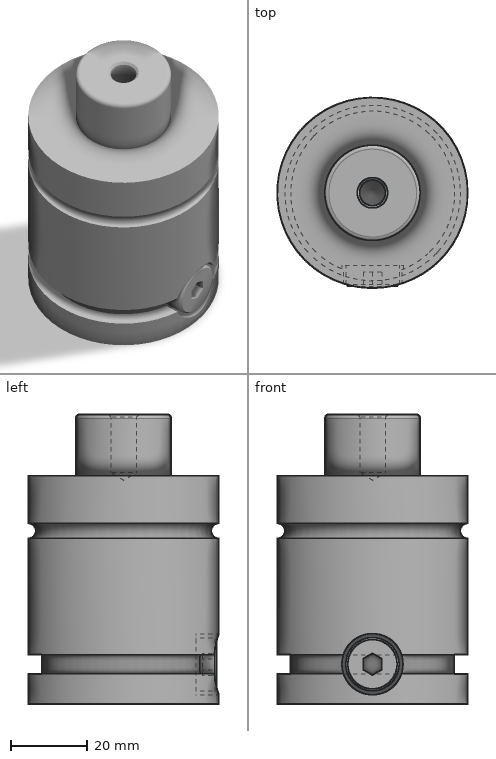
import cadquery as cq
import math

total_height = 76.0
body_diameter = 50.0
body_radius = body_diameter / 2
rod_diameter = body_diameter / 2
rod_length = 16.0
rod_edge_radius = 1.0
body_height = total_height - rod_length

round_groove_radius = 2.0
round_groove_center_z = 45.45

base_groove_bottom_z = 8.0
base_groove_width = 5.0
base_groove_floor_diameter = 43.0

thread_core_diameter = 6.8
thread_mouth_diameter = 8.0
thread_hole_depth = 15.2
drill_tip_angle = 118.0

plug_center_z = base_groove_bottom_z + base_groove_width / 2
plug_bore_diameter = 16.0
plug_bore_floor_distance = 19.0
plug_diameter = 14.0
plug_face_distance = 24.5
plug_edge_chamfer = 0.5
hex_across_flats = 4.95
hex_depth = 3.8


def cylinder(diameter, height, bottom_z=0.0):
    """Cylinder standing on the Z axis."""
    return cq.Workplane("XY").workplane(offset=bottom_z).circle(diameter / 2).extrude(height)


def side_plane(distance):
    """Plane facing -Y, centered on the plug, at a distance from the body axis."""
    return cq.Workplane("XZ", origin=(0, -distance, plug_center_z))


def make_body():
    rod = cylinder(rod_diameter, rod_length, body_height).faces(">Z").fillet(rod_edge_radius)
    return cylinder(body_diameter, body_height).union(rod)


def make_round_groove():
    return (
        cq.Workplane("XZ")
        .center(body_radius, round_groove_center_z)
        .circle(round_groove_radius)
        .revolve(360, (-body_radius, 0), (-body_radius, 1))
    )


def make_base_groove():
    ring = cylinder(body_diameter, base_groove_width, base_groove_bottom_z)
    return ring.cut(cylinder(base_groove_floor_diameter, base_groove_width, base_groove_bottom_z))


def make_thread_hole():
    """Blind hole with a conical drill tip and a 45 degree lead-in."""
    core_radius = thread_core_diameter / 2
    mouth_radius = thread_mouth_diameter / 2
    hole_floor_z = total_height - thread_hole_depth
    tip_length = core_radius / math.tan(math.radians(drill_tip_angle / 2))
    lead_in = mouth_radius - core_radius
    profile = [
        (0, total_height),
        (mouth_radius, total_height),
        (core_radius, total_height - lead_in),
        (core_radius, hole_floor_z),
        (0, hole_floor_z - tip_length),
    ]
    return cq.Workplane("XZ").polyline(profile).close().revolve(360, (0, 0), (0, 1))


def make_plug_bore():
    depth = body_radius - plug_bore_floor_distance
    return side_plane(plug_bore_floor_distance).circle(plug_bore_diameter / 2).extrude(depth)


def make_plug():
    """Plug with a chamfered face and a hexagon socket, one corner up."""
    length = plug_face_distance - plug_bore_floor_distance
    plug = side_plane(plug_bore_floor_distance).circle(plug_diameter / 2).extrude(length)
    plug = plug.faces("<Y").chamfer(plug_edge_chamfer)
    hex_across_corners = hex_across_flats / math.cos(math.pi / 6)
    socket = (
        side_plane(plug_face_distance)
        .transformed(rotate=(0, 0, 90))
        .polygon(6, hex_across_corners)
        .extrude(-hex_depth)
    )
    return plug.cut(socket)


result = (
    make_body()
    .cut(make_round_groove())
    .cut(make_base_groove())
    .cut(make_thread_hole())
    .cut(make_plug_bore())
    .union(make_plug())
)